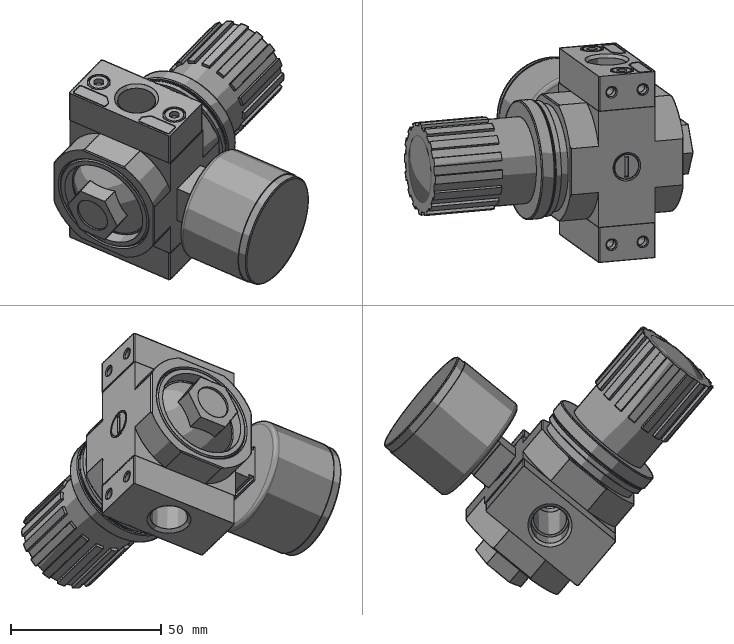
import cadquery as cq
import math


overall_length = 95.0
overall_width = 76.4

housing_size = 40.0
housing_half = housing_size / 2
end_diameter = 43.0
end_chamfer = 0.4
neck_radius = 18.05
neck_end = 22.9

port_span = 64.0
plate_thickness = (port_span - housing_size) / 2
plate_width = 19.95
plate_shift = -0.33
plate_chamfer = 0.4
port_mouth_diameter = 14.6
port_thread_diameter = 12.5
port_bore_diameter = 11.0
side_hole_spacing = 11.0
side_hole_height = 26.2
side_hole_diameter = 3.2
side_hole_mouth_diameter = 4.0
side_hole_depth = 2.85
tag_depth = 0.2
tag_margin = 0.95
tag_inner = 6.6
tag_shoulder = 8.8
tag_top = -4.7
tag_bottom = -9.1
tag_fillet = 0.7

screw_offset = 15.0
screw_diameter = 7.6
screw_length = 5.7
screw_chamfer = 0.7
socket_diameter = 3.2
socket_depth = 1.9

plug_diameter = 8.55
plug_length = 3.8
plug_mouth_diameter = 9.7
slot_width = 1.3
slot_length = 6.9
slot_depth = 0.95

cap_radius = 17.6
cap_edge_chamfer = 0.5
cap_depth = 8.55
bowl_mouth_radius = 15.5
bowl_floor_radius = 15.0
bowl_floor = 3.8
dome_base_radius = 14.4
dome_center = 5.9
hex_flats = 17.0
hex_end = 27.0
hex_recess_diameter = 12.0
hex_recess_depth = 0.8

ring_radius = 19.95
ring_step_radius = 19.4
ring_step_end = 24.7
ring_groove_radius = 19.0
rim_start = 25.3
ring_end = 30.0
ring_chamfer = 0.4

knob_radius = 14.5
rib_radius = 15.6
rib_width = 2.85
rib_count = 16
rib_start = 42.3
knob_shoulder = 66.0
crown_radius = 11.2
knob_end = overall_length - hex_end

gauge_end = overall_width + plate_shift - housing_half
gauge_start = 29.6
gauge_radius = 19.5
gauge_fillet = 1.5
bezel_start = 53.0
bezel_radius = 19.2
bezel_chamfer = 0.4
stem_neck_diameter = 9.9
stem_start = 20.7
stem_size = 14.1
stem_groove_start = 27.3
stem_groove_end = 29.0
stem_groove_depth = 1.3

drill_tip_angle = 118


def cylinder_y(radius, start, end):
    """Solid cylinder on the Y axis between two Y positions."""
    return cq.Workplane("XZ", origin=(0, start, 0)).circle(radius).extrude(start - end)


def cylinder_x(radius, start, end):
    """Solid cylinder on the X axis between two X positions."""
    return cq.Workplane("YZ", origin=(start, 0, 0)).circle(radius).extrude(end - start)


def pointed_hole(mouth, direction, diameter, depth):
    """Blind drilled hole with a conical bottom."""
    radius = diameter / 2
    tip = radius / math.tan(math.radians(drill_tip_angle / 2))
    profile = cq.Workplane("XZ").polyline([(0, 0), (radius, 0), (radius, depth), (0, depth + tip)])
    hole = profile.close().revolve(360, (0, 0, 0), (0, 1, 0)).val()
    plane = cq.Plane(origin=mouth, normal=direction)
    return cq.Workplane(hole.moved(cq.Location(plane)))


def countersink(mouth, direction, mouth_diameter, diameter):
    """45 degree cone that widens the mouth of a hole."""
    depth = (mouth_diameter - diameter) / 2
    return cq.Workplane(
        cq.Solid.makeCone(mouth_diameter / 2, diameter / 2, depth, cq.Vector(*mouth), cq.Vector(*direction))
    )


def make_housing():
    ends = cq.Workplane().box(housing_size, housing_size, housing_size)
    ends = ends.faces("<Y or >Y").chamfer(end_chamfer)
    ends = ends.intersect(cylinder_y(end_diameter / 2, -housing_half, housing_half))
    body = ends.union(cq.Workplane().box(housing_size, plate_width, housing_size))
    body = body.union(cylinder_y(neck_radius, 0, neck_end))

    body = body.cut(cq.Workplane().circle(port_bore_diameter / 2).extrude(housing_half, both=True))

    body = body.cut(cylinder_y(cap_radius, -housing_half, cap_depth - housing_half))
    cap_mouth_diameter = 2 * (cap_radius + cap_edge_chamfer)
    body = body.cut(countersink((0, -housing_half, 0), (0, 1, 0), cap_mouth_diameter, 2 * cap_radius))

    body = body.cut(cylinder_x(plug_diameter / 2, -housing_half, plug_length - housing_half))
    return body.cut(countersink((-housing_half, 0, 0), (1, 0, 0), plug_mouth_diameter, plug_diameter))


def make_plate():
    """Port plate in the upper position, without screw seats and tags."""
    middle = housing_half + plate_thickness / 2
    top = port_span / 2
    plate = cq.Workplane().box(housing_size, plate_width, plate_thickness)
    plate = plate.edges("|Z").chamfer(plate_chamfer).translate((plate_shift, 0, middle))
    plate = plate.cut(
        cq.Workplane(origin=(0, 0, housing_half)).circle(port_thread_diameter / 2).extrude(plate_thickness)
    )
    plate = plate.cut(countersink((0, 0, top), (0, 0, -1), port_mouth_diameter, port_thread_diameter))

    for y in (-side_hole_spacing / 2, side_hole_spacing / 2):
        mouth = (plate_shift - housing_half, y, side_hole_height)
        plate = plate.cut(pointed_hole(mouth, (1, 0, 0), side_hole_diameter, side_hole_depth))
        plate = plate.cut(countersink(mouth, (1, 0, 0), side_hole_mouth_diameter, side_hole_diameter))
    return plate


def make_tag(side):
    """Shallow label pocket on the upper plate; side is -1 or 1 along X."""
    floor = port_span / 2 - tag_depth
    outer = side * (housing_half - tag_margin) + plate_shift
    outline = cq.Workplane(origin=(0, 0, floor)).polyline([
        (side * tag_shoulder, tag_top),
        (outer, tag_top),
        (outer, tag_bottom),
        (side * tag_inner, tag_bottom),
        (side * tag_inner, tag_bottom + (tag_shoulder - tag_inner)),
    ])
    return outline.close().extrude(tag_depth).edges("|Z").fillet(tag_fillet)


def make_upper_plate():
    plate = make_plate()
    seat_floor = port_span / 2 - screw_length
    for side in (-1, 1):
        plate = plate.cut(make_tag(side))
        seat = cq.Workplane(origin=(side * screw_offset, 0, seat_floor)).circle(screw_diameter / 2)
        plate = plate.cut(seat.extrude(screw_length))
    return plate


def make_screw(x):
    top = port_span / 2
    screw = cq.Workplane(origin=(x, 0, top - screw_length)).circle(screw_diameter / 2).extrude(screw_length)
    screw = screw.faces(">Z").chamfer(screw_chamfer)
    return screw.cut(pointed_hole((x, 0, top), (0, 0, -1), socket_diameter, socket_depth))


def make_plug():
    plug = cylinder_x(plug_diameter / 2, -housing_half, plug_length - housing_half)
    slot = cq.Workplane().box(slot_depth, slot_width, slot_length, centered=(False, True, True))
    return plug.cut(slot.translate((-housing_half, 0, 0)))


def make_cap():
    face = -housing_half
    floor = face + bowl_floor
    dome_radius = math.hypot(dome_base_radius, -floor - dome_center)
    dome_tip = -dome_center - dome_radius
    half_angle = math.atan2(dome_base_radius, -floor - dome_center) / 2
    dome_middle = (dome_radius * math.sin(half_angle), -dome_center - dome_radius * math.cos(half_angle))
    back = face + cap_depth
    profile = (
        cq.Workplane()
        .moveTo(0, back)
        .lineTo(cap_radius, back)
        .lineTo(cap_radius, face + cap_edge_chamfer)
        .lineTo(cap_radius - cap_edge_chamfer, face)
        .lineTo(bowl_mouth_radius, face)
        .lineTo(bowl_floor_radius, floor)
        .lineTo(dome_base_radius, floor)
        .threePointArc(dome_middle, (0, dome_tip))
        .close()
    )
    cap = profile.revolve(360, (0, 0, 0), (0, 1, 0))

    hex_corners = hex_flats / math.cos(math.pi / 6)
    hexagon = cq.Workplane("XZ", origin=(0, back, 0)).polygon(6, hex_corners).extrude(back + hex_end)
    recess = cylinder_y(hex_recess_diameter / 2, -hex_end, hex_recess_depth - hex_end)
    return cap.union(hexagon).cut(recess)


def make_ring_nut():
    step = cylinder_y(ring_step_radius, neck_end, ring_step_end)
    groove = cylinder_y(ring_groove_radius, ring_step_end, rim_start)
    rim = cylinder_y(ring_radius, rim_start, ring_end).edges().chamfer(ring_chamfer)
    return step.union(groove).union(rim)


def make_knob():
    knob = cylinder_y(knob_radius, ring_end, knob_shoulder)
    rib = cq.Workplane().box(rib_radius, knob_shoulder - rib_start, rib_width, centered=(False, False, True))
    rib = rib.translate((0, rib_start, 0))
    for i in range(rib_count):
        knob = knob.union(rib.rotate((0, 0, 0), (0, 1, 0), i * 360 / rib_count))
    knob = knob.intersect(cylinder_y(rib_radius, ring_end, knob_shoulder))

    rise = knob_end - knob_shoulder
    crown_sphere = (crown_radius**2 + rise**2) / (2 * rise)
    crown = cq.Workplane().sphere(crown_sphere).translate((0, knob_end - crown_sphere, 0))
    crown = crown.intersect(cylinder_y(crown_radius, knob_shoulder, knob_end))
    return knob.union(crown)


def make_gauge():
    case = cylinder_x(gauge_radius, gauge_start, bezel_start).faces("<X").edges().fillet(gauge_fillet)
    bezel = cylinder_x(bezel_radius, bezel_start, gauge_end).faces(">X").chamfer(bezel_chamfer)
    stem = cq.Workplane("YZ", origin=(stem_start, 0, 0)).rect(stem_size, stem_size)
    stem = stem.extrude(gauge_start - stem_start)
    groove = cq.Workplane().box(
        stem_groove_end - stem_groove_start, stem_size, stem_groove_depth, centered=(False, True, False)
    )
    groove = groove.translate((stem_groove_start, 0, stem_size / 2 - stem_groove_depth))
    stem = stem.cut(groove).cut(groove.mirror("XY"))
    neck = cylinder_x(stem_neck_diameter / 2, housing_half, stem_start)
    return case.union(bezel).union(stem).union(neck)


housing = make_housing()
upper_plate = make_upper_plate()
lower_plate = make_plate().mirror("XY")
screws = [make_screw(x) for x in (-screw_offset, screw_offset)]
plug = make_plug()
cap = make_cap()
ring_nut = make_ring_nut()
knob = make_knob()
gauge = make_gauge()

result = cq.Compound.makeCompound([
    housing.val(),
    upper_plate.val(),
    lower_plate.val(),
    *[screw.val() for screw in screws],
    plug.val(),
    cap.val(),
    ring_nut.val(),
    knob.val(),
    gauge.val(),
])